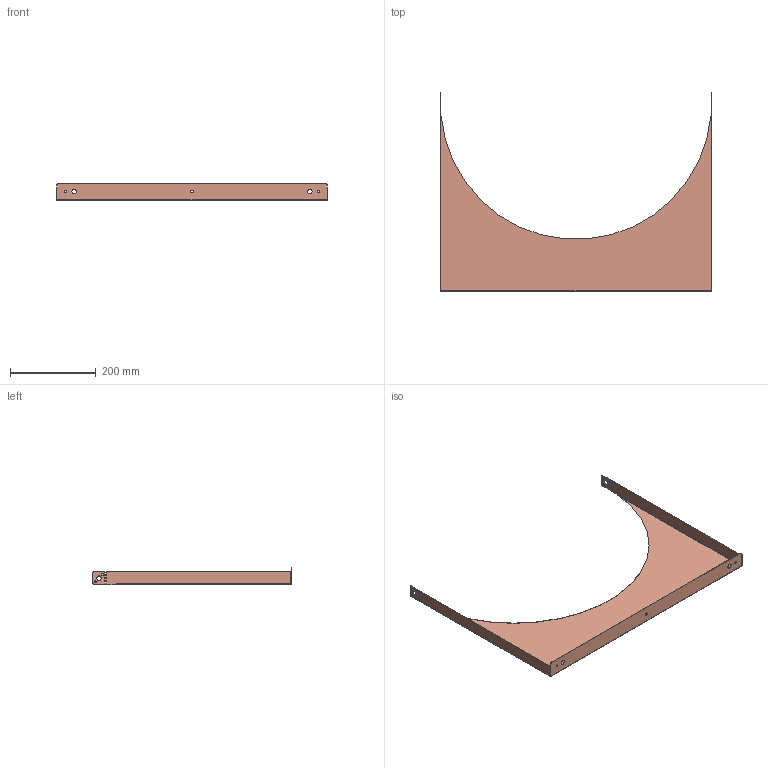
import cadquery as cq
import math

WIDTH = 632.0
DEPTH = 463.4
FLANGE_HEIGHT = 40.0
ARM_HEIGHT = 30.0
SHEET = 0.5
HALF_WIDTH = WIDTH / 2

DIAGONAL = math.sqrt(0.5)

INNER_BEND_RADIUS = 0.5
OUTER_BEND_RADIUS = 1.5
FLANGE_CORNER_RADIUS = 6.0
ARM_CORNER_RADIUS = 4.0
ARM_FRONT_CORNER_RADIUS = 1.0

CUTOUT_RADIUS = 315.8
CUTOUT_CENTER_Y = 437.0

BEND_FOOT_X = HALF_WIDTH - OUTER_BEND_RADIUS
BEND_END_Y = CUTOUT_CENTER_Y - math.sqrt(CUTOUT_RADIUS**2 - BEND_FOOT_X**2)

LARGE_HOLE_DIAMETER = 10.5
SCREW_HOLE_DIAMETER = 4.3

PIVOT_END_DISTANCE = 14.7
PIVOT_Y = DEPTH - PIVOT_END_DISTANCE
PIVOT_Z = ARM_HEIGHT / 2
SCREW_DISTANCE = 12.0
SCREW_OFFSET = SCREW_DISTANCE * DIAGONAL

ROW_END_DISTANCE = 30.0
ROW_Y = DEPTH - ROW_END_DISTANCE
ROW_PITCH = 7.0
ROW_HEIGHTS = [PIVOT_Z + step * ROW_PITCH for step in (-1, 0, 1, 2)]
ROW_HOLE_DIAMETER = 3.3
SLIT_WIDTH = 0.5

FLANGE_HOLE_Z = 21.0
LARGE_HOLE_X = 275.0
SCREW_HOLE_X = 295.0
CENTER_HOLE_DIAMETER = 6.2


def box(x_limits, y_limits, z_limits):
    """Box between the low and high limits along each axis."""
    sizes = [high - low for low, high in (x_limits, y_limits, z_limits)]
    corner = (x_limits[0], y_limits[0], z_limits[0])
    return cq.Workplane("XY").box(*sizes, centered=False).translate(corner)


def bent_wall(plane, height, length):
    """Upright wall with a rounded bend and a short foot; the outer corner lies at the plane origin."""
    inner_end = SHEET + INNER_BEND_RADIUS
    outer_middle = OUTER_BEND_RADIUS * (1 - DIAGONAL)
    inner_middle = inner_end - INNER_BEND_RADIUS * DIAGONAL
    return (
        cq.Workplane(plane)
        .moveTo(OUTER_BEND_RADIUS, 0)
        .threePointArc((outer_middle, outer_middle), (0, OUTER_BEND_RADIUS))
        .lineTo(0, height)
        .lineTo(SHEET, height)
        .lineTo(SHEET, inner_end)
        .threePointArc((inner_middle, inner_middle), (inner_end, SHEET))
        .lineTo(OUTER_BEND_RADIUS, SHEET)
        .close()
        .extrude(length)
    )


def base_plate():
    plate = box((-BEND_FOOT_X, BEND_FOOT_X), (OUTER_BEND_RADIUS, BEND_END_Y), (0, SHEET))
    cutout = cq.Workplane("XY").center(0, CUTOUT_CENTER_Y).circle(CUTOUT_RADIUS).extrude(SHEET)
    return plate.cut(cutout)


def front_flange():
    """Front wall over the full width, with rounded upper corners and a symmetric set of holes."""
    plane = cq.Plane(origin=(-HALF_WIDTH, 0, 0), xDir=(0, 1, 0), normal=(1, 0, 0))
    flange = bent_wall(plane, FLANGE_HEIGHT, WIDTH)
    flange = flange.faces(">Z").edges("|Y").fillet(FLANGE_CORNER_RADIUS)
    holes = [(0, CENTER_HOLE_DIAMETER)]
    for side in (-1, 1):
        holes.append((side * LARGE_HOLE_X, LARGE_HOLE_DIAMETER))
        holes.append((side * SCREW_HOLE_X, SCREW_HOLE_DIAMETER))
    for x, diameter in holes:
        hole = cq.Workplane("XZ", origin=(x, 0, FLANGE_HOLE_Z)).circle(diameter / 2).extrude(-SHEET)
        flange = flange.cut(hole)
    return flange


def arm_holes():
    """Cutters for the holes and the slit near the free end of the left arm."""
    holes = [
        (PIVOT_Y, PIVOT_Z, LARGE_HOLE_DIAMETER),
        (PIVOT_Y - SCREW_OFFSET, PIVOT_Z + SCREW_OFFSET, SCREW_HOLE_DIAMETER),
        (PIVOT_Y + SCREW_OFFSET, PIVOT_Z - SCREW_OFFSET, SCREW_HOLE_DIAMETER),
    ]
    holes += [(ROW_Y, z, ROW_HOLE_DIAMETER) for z in ROW_HEIGHTS]
    slit_limits = (ROW_Y - SLIT_WIDTH / 2, ROW_Y + SLIT_WIDTH / 2)
    cutters = box((-HALF_WIDTH, -HALF_WIDTH + SHEET), slit_limits, (0, ROW_HEIGHTS[0]))
    for y, z, diameter in holes:
        hole = cq.Workplane("YZ", origin=(-HALF_WIDTH, y, z)).circle(diameter / 2).extrude(SHEET)
        cutters = cutters.union(hole)
    return cutters


def left_arm():
    """Arm bent up from the base as far as the cut-out, then running on as a flat upright strip."""
    bend_start_y = OUTER_BEND_RADIUS
    plane = cq.Plane(origin=(-HALF_WIDTH, BEND_END_Y, 0), xDir=(1, 0, 0), normal=(0, -1, 0))
    bent = bent_wall(plane, ARM_HEIGHT, BEND_END_Y - bend_start_y)
    bent = bent.faces("<Y").edges("|X").edges(">Z").fillet(ARM_FRONT_CORNER_RADIUS)
    flat = box((-HALF_WIDTH, -HALF_WIDTH + SHEET), (BEND_END_Y, DEPTH), (0, ARM_HEIGHT))
    flat = flat.faces(">Y").edges("|X").fillet(ARM_CORNER_RADIUS)
    return bent.union(flat).cut(arm_holes())


arm = left_arm()
result = base_plate().union(front_flange()).union(arm).union(arm.mirror("YZ"))